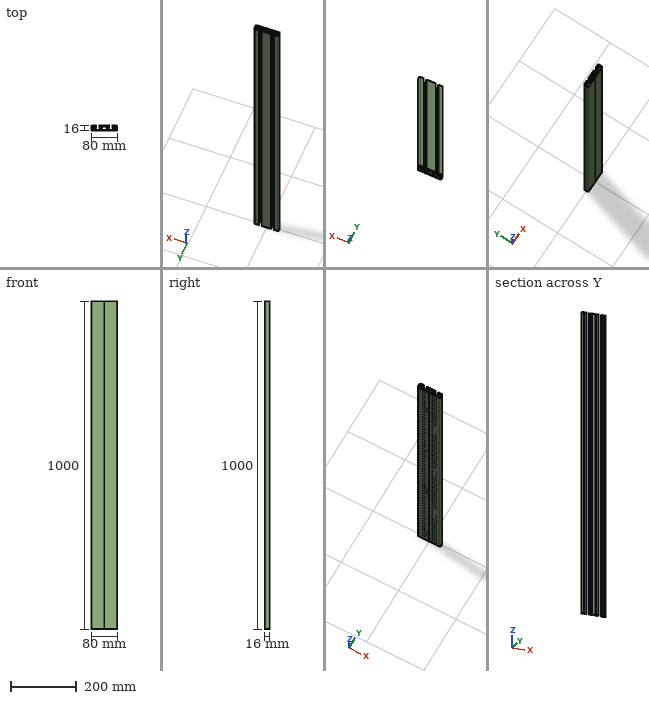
import cadquery as cq

length = 1000.0
width = 80.0
thickness = 16.0
corner_radius = 4.0

slot_spacing = 40.0
slot_opening = 8.5
opening_chamfer = 1.0
slot_floor_y = -4.5
lip_thickness = 5.5
cavity_width = 21.0
cavity_wall_height = 1.0
cavity_floor_width = 7.0

channel_width = 20.0
channel_top_width = 10.0
channel_wall_height = 1.0
channel_bottom_y = -4.5
channel_top_y = 3.5

screw_hole_diameter = 5.0
screw_hole_x = 34.0

groove_width = 1.0
groove_depth = 0.5

back_y = thickness / 2
front_y = -thickness / 2


def symmetric_prism(right_side, center_x=0.0):
    """Extrude an outline given by its right half and mirrored about X = center_x."""
    left_side = [(-x, y) for x, y in reversed(right_side)]
    points = [(center_x + x, y) for x, y in right_side + left_side]
    return cq.Workplane("XY").polyline(points).close().extrude(length)


def t_slot(center_x):
    """T-slot cutter with a chamfered mouth and a tapered cavity under the lips."""
    lip_y = back_y - lip_thickness
    return symmetric_prism(
        [
            (slot_opening / 2 + opening_chamfer, back_y),
            (slot_opening / 2, back_y - opening_chamfer),
            (slot_opening / 2, lip_y),
            (cavity_width / 2, lip_y),
            (cavity_width / 2, lip_y - cavity_wall_height),
            (cavity_floor_width / 2, slot_floor_y),
        ],
        center_x,
    )


def center_channel():
    """Closed channel on the middle plane, tapering towards the +Y face."""
    return symmetric_prism([
        (channel_width / 2, channel_bottom_y),
        (channel_width / 2, channel_bottom_y + channel_wall_height),
        (channel_top_width / 2, channel_top_y),
    ])


def marking_groove():
    """V-groove along the centre line of the -Y face."""
    points = [
        (-groove_width / 2, front_y),
        (0, front_y + groove_depth),
        (groove_width / 2, front_y),
    ]
    return cq.Workplane("XY").polyline(points).close().extrude(length)


def screw_channel(center_x):
    """Round channel through the full length, at mid thickness."""
    return cq.Workplane("XY").center(center_x, 0).circle(screw_hole_diameter / 2).extrude(length)


body = cq.Workplane("XY").rect(width, thickness).extrude(length)
body = body.edges("|Z").fillet(corner_radius)

body = body.cut(center_channel()).cut(marking_groove())
for side in (-1, 1):
    body = body.cut(t_slot(side * slot_spacing / 2))
    body = body.cut(screw_channel(side * screw_hole_x))

result = body